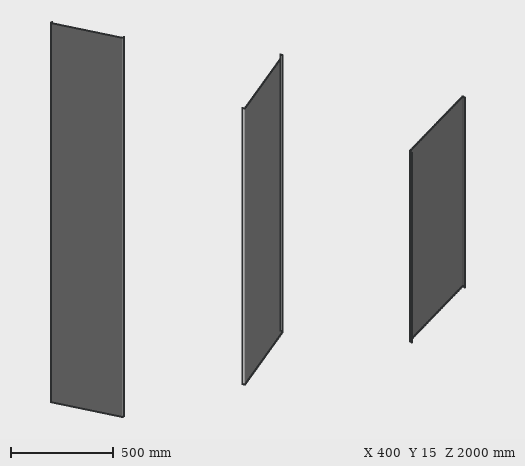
import cadquery as cq

width = 400.0
depth = 15.0
height = 2000.0

sheet = 1.5
inner_bend_radius = 2.5
outer_bend_radius = inner_bend_radius + sheet

front = -depth / 2


def rounded_block(size_x, size_y, front_y, radius):
    """Full-height block starting at front_y, with its two front vertical edges rounded."""
    block = cq.Workplane("XY").box(size_x, size_y, height, centered=(True, False, True))
    return block.translate((0, front_y, 0)).edges("|Z and <Y").fillet(radius)


envelope = rounded_block(width, depth, front, outer_bend_radius)
hollow = rounded_block(width - 2 * sheet, depth - sheet, front + sheet, inner_bend_radius)

result = envelope.cut(hollow)